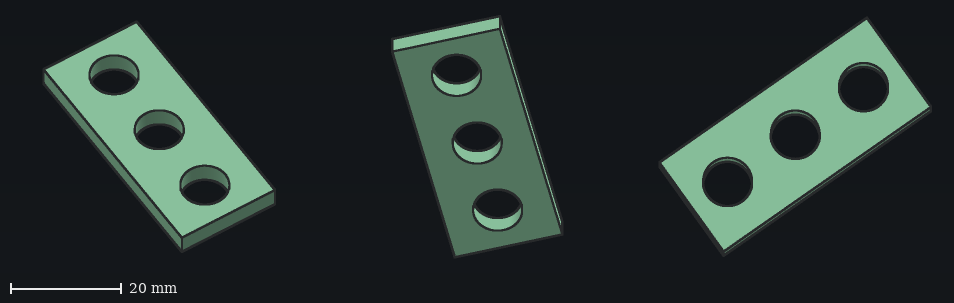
import cadquery as cq

length = 45.95
width = 20.1
thickness = 4.2

hole_diameter = 8.85
left_spacing = 15.0
right_spacing = 15.12
hole_centers = [(-left_spacing, 0), (0, 0), (right_spacing, 0)]

plate = cq.Workplane("XY").box(length, width, thickness)

result = (
    plate.faces(">Z")
    .workplane()
    .pushPoints(hole_centers)
    .hole(hole_diameter)
)